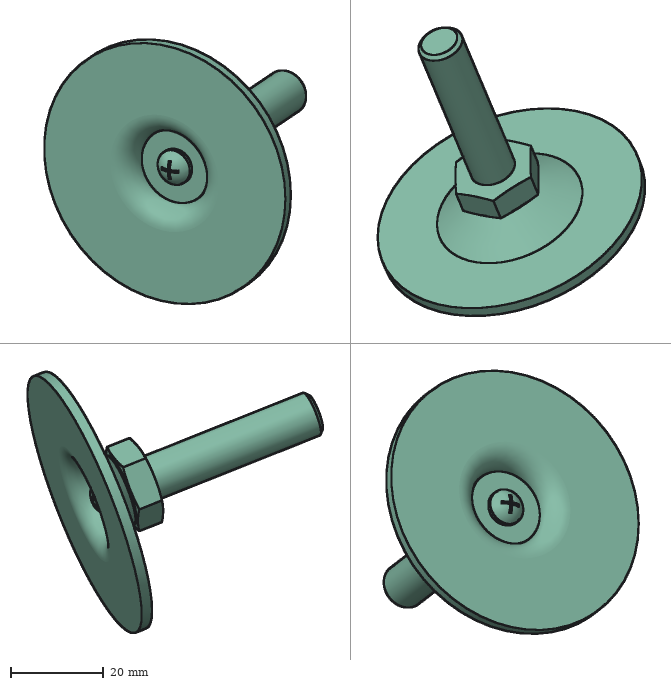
import cadquery as cq
import math

base_diameter = 60.0
base_thickness = 2.5
cone_base_radius = 16.5
cone_top_radius = 8.0
cone_top_y = 8.5

nut_width = 17.0
nut_start_y = 8.8
nut_end_y = 15.0
nut_chamfer_radius = 8.15
nut_chamfer_angle = 13.0

stud_diameter = 10.0
stud_end_y = 55.0
stud_chamfer = 0.9

recess_floor_radius = 8.5
recess_depth = 5.0

head_diameter = 8.0
head_rim_height = 1.0
head_dome_height = 2.2
slot_length = 4.1
slot_width = 0.5
slot_depth = 0.8


def revolve_about_y(profile):
    """Revolve an (x, y) profile fully about the Y axis."""
    return profile.close().revolve(360, (0, 0, 0), (0, 1, 0))


def make_base():
    """Flat disc, cone and the short neck that carries the nut."""
    base_radius = base_diameter / 2
    return revolve_about_y(
        cq.Workplane("XY")
        .moveTo(0, 0)
        .lineTo(base_radius, 0)
        .lineTo(base_radius, base_thickness)
        .lineTo(cone_base_radius, base_thickness)
        .lineTo(cone_top_radius, cone_top_y)
        .lineTo(cone_top_radius, nut_start_y)
        .lineTo(0, nut_start_y)
    )


def make_nut():
    """Hexagonal prism with its corners chamfered conically at both ends."""
    nut_height = nut_end_y - nut_start_y
    corner_diameter = nut_width / math.cos(math.radians(30))
    hexagon = (
        cq.Workplane("XZ", origin=(0, nut_start_y, 0))
        .transformed(rotate=(0, 0, 90))
        .polygon(6, corner_diameter)
        .extrude(-nut_height)
    )
    outer_radius = corner_diameter / 2
    chamfer_height = (outer_radius - nut_chamfer_radius) * math.tan(math.radians(nut_chamfer_angle))
    envelope = revolve_about_y(
        cq.Workplane("XY")
        .moveTo(0, nut_start_y)
        .lineTo(nut_chamfer_radius, nut_start_y)
        .lineTo(outer_radius, nut_start_y + chamfer_height)
        .lineTo(outer_radius, nut_end_y - chamfer_height)
        .lineTo(nut_chamfer_radius, nut_end_y)
        .lineTo(0, nut_end_y)
    )
    return hexagon.intersect(envelope)


def make_stud():
    """Plain round stud with a chamfered free end."""
    return (
        cq.Workplane("XZ", origin=(0, nut_end_y, 0))
        .circle(stud_diameter / 2)
        .extrude(nut_end_y - stud_end_y)
        .faces(">Y")
        .chamfer(stud_chamfer)
    )


def make_recess():
    """Recess volume: flat floor, wall rounded outwards in a quarter circle to the bearing face."""
    mouth_radius = recess_floor_radius + recess_depth
    arc_offset = recess_depth * math.sqrt(0.5)
    return revolve_about_y(
        cq.Workplane("XY")
        .moveTo(0, 0)
        .lineTo(mouth_radius, 0)
        .threePointArc(
            (mouth_radius - arc_offset, recess_depth - arc_offset),
            (recess_floor_radius, recess_depth),
        )
        .lineTo(0, recess_depth)
    )


def make_screw_head():
    """Cylindrical rim with a spherical dome and a cross slot."""
    head_radius = head_diameter / 2
    rim_y = recess_depth - head_rim_height
    apex_y = rim_y - head_dome_height
    sphere_radius = (head_radius**2 + head_dome_height**2) / (2 * head_dome_height)
    mid_angle = math.asin(head_radius / sphere_radius) / 2
    mid_x = sphere_radius * math.sin(mid_angle)
    mid_y = apex_y + sphere_radius * (1 - math.cos(mid_angle))
    head = revolve_about_y(
        cq.Workplane("XY")
        .moveTo(0, recess_depth)
        .lineTo(head_radius, recess_depth)
        .lineTo(head_radius, rim_y)
        .threePointArc((mid_x, mid_y), (0, apex_y))
    )
    for length_x, length_z in ((slot_length, slot_width), (slot_width, slot_length)):
        slot = cq.Workplane("XZ", origin=(0, apex_y, 0)).rect(length_x, length_z).extrude(-slot_depth)
        head = head.cut(slot)
    return head


foot = make_base().union(make_nut()).union(make_stud())
result = foot.cut(make_recess()).union(make_screw_head())